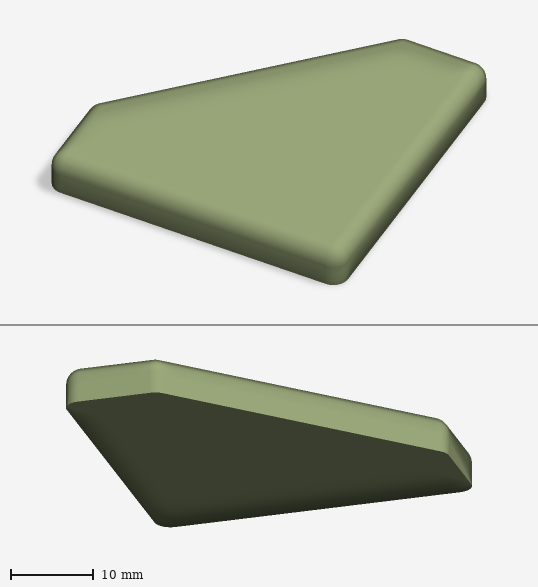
import cadquery as cq

side = 40.0
thickness = 5.0
corner_cut = 28.0
edge_radius = 2.0

half = side / 2

outline = [
    (-half, -half),
    (half, -half),
    (half, half),
    (-half + corner_cut, half),
    (-half, half - corner_cut),
]


def make_plate():
    """Flat plate with its underside on Z = 0."""
    return cq.Workplane("XY").polyline(outline).close().extrude(thickness)


def round_edges(plate):
    """Round the upright corners first, then the whole top rim."""
    rounded_corners = plate.edges("|Z").fillet(edge_radius)
    return rounded_corners.faces(">Z").edges().fillet(edge_radius)


result = round_edges(make_plate())